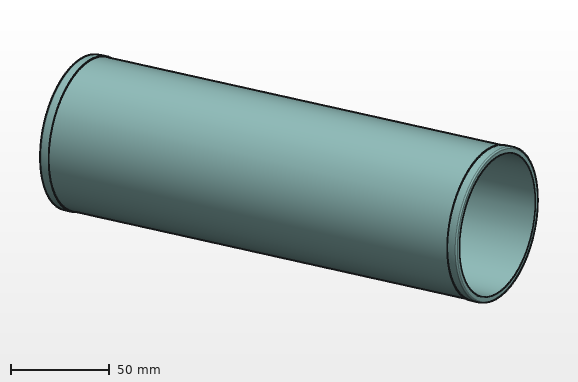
import cadquery as cq

length = 247.0
bore_diameter = 74.5
body_diameter = 80.2
collar_diameter = 81.0
collar_width = 5.5
rim_radius = 0.8

end_x = length / 2


def cylinder_along_x(diameter, start, span):
    """Solid cylinder on the X axis, running from x = start over the given span."""
    return cq.Workplane("YZ").workplane(offset=start).circle(diameter / 2).extrude(span)


tube = cylinder_along_x(body_diameter, -end_x, length)

for collar_start in (-end_x, end_x - collar_width):
    tube = tube.union(cylinder_along_x(collar_diameter, collar_start, collar_width))

tube = tube.faces("<X or >X").edges().fillet(rim_radius)

result = tube.cut(cylinder_along_x(bore_diameter, -end_x, length))